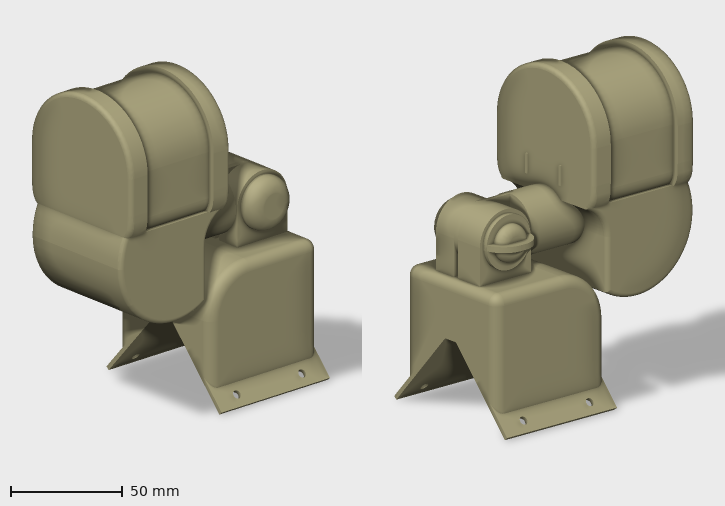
import cadquery as cq
import math

HEIGHT = 155.0
DEPTH = 118.0

base_width = 62.0
base_depth = 65.0
base_top = 65.7
base_front_radius = 24.0
base_fillet = 5.0

plate_span = 77.2
plate_thickness = 2.0
vee_flat = 7.5
plate_angle = math.radians(48.4)
plate_hole_diameter = 4.0
plate_hole_x = 34.7
plate_hole_ys = (-13.2, -52.3)

pivot_y = -19.4
pivot_z = 84.0
pivot_radius = 15.0
tongue_thickness = 2.6

knob_flange_radius = 13.0
knob_flange_thickness = 2.3
knob_dome_radius = 9.0
knob_dome_height = 5.1
knob_dome_fillet = 4.7
wing_reach = 12.1
wing_width = 26.0
wing_thickness = 2.8
wing_corner_radius = 12.0
cap_height = 7.9
cap_fillet = 6.8

arm_start = -35.2
arm_end = -71.3
arm_stub_radius = 9.5

lower_width = 60.3
lower_radius = 33.2
lower_center_z = 80.5
lower_front_upper_radius = 36.5
lower_back = -66.5
lower_hollow_radius = 16.0
lower_hollow_z = 79.1
lower_fillet = 2.2

head_bottom = 95.2
head_back = -55.4
head_front = -115.0
head_cap_thickness = 10.1
head_cap_half_width = 33.8
head_cap_side_bottom = 106.4
head_cap_shoulder = (32.3, 96.8)
head_cap_floor = (21.7, 91.5)
head_cap_fillet = 2.2
head_spring = 124.2
head_inset = 3.1
barrel_top = 152.3
barrel_corner_radius = 9.8
barrel_side_bottom = 102.0

rib_x = 11.5
rib_thickness = 1.1
rib_height = 9.5
rib_bottom = 101.4
rib_projection = 1.0


def cylinder_x(radius, x_start, x_end):
    """Cylinder on the pivot axis."""
    return (
        cq.Workplane("YZ", origin=(x_start, pivot_y, pivot_z))
        .circle(radius)
        .extrude(x_end - x_start)
    )


def cylinder_y(radius, y_start, y_end):
    """Cylinder on the arm axis, running toward -Y."""
    return (
        cq.Workplane("XZ", origin=(0, y_start, pivot_z))
        .circle(radius)
        .extrude(y_start - y_end)
    )


def block(x_range, y_range, z_range):
    """Box between the given limits."""
    (x0, x1), (y0, y1), (z0, z1) = x_range, y_range, z_range
    return cq.Workplane("XY").box(x1 - x0, y1 - y0, z1 - z0, centered=False).translate((x0, y0, z0))


def make_base():
    """Rounded block cut by a vee, with a drilled plate along each slope of the vee."""
    body = block((-base_width / 2, base_width / 2), (-base_depth, 0), (0, base_top))
    body = body.edges("|X and >Z and <Y").fillet(base_front_radius)
    body = body.faces("not <Z").edges("not <Z").fillet(base_fillet)

    rise_x = plate_thickness * math.sin(plate_angle)
    rise_z = plate_thickness * math.cos(plate_angle)
    foot_x = plate_span / 2 - rise_x
    vee_top = (foot_x - vee_flat / 2) * math.tan(plate_angle)
    vee = (
        cq.Workplane("XZ")
        .polyline([(-foot_x, 0), (-vee_flat / 2, vee_top), (vee_flat / 2, vee_top), (foot_x, 0)])
        .close()
        .extrude(base_depth)
    )
    body = body.cut(vee)
    for side in (-1, 1):
        plate = (
            cq.Workplane("XZ")
            .polyline([
                (side * foot_x, 0),
                (side * plate_span / 2, rise_z),
                (side * (vee_flat / 2 + rise_x), vee_top + rise_z),
                (side * vee_flat / 2, vee_top),
            ])
            .close()
            .extrude(base_depth)
        )
        hole_z = (plate_span / 2 - plate_hole_x) * math.tan(plate_angle) + rise_z
        for hole_y in plate_hole_ys:
            normal = cq.Vector(side * math.sin(plate_angle), 0, math.cos(plate_angle))
            center = cq.Vector(side * plate_hole_x, hole_y, hole_z)
            drill = cq.Solid.makeCylinder(
                plate_hole_diameter / 2,
                4 * plate_thickness,
                center - normal * (2 * plate_thickness),
                normal,
            )
            plate = plate.cut(cq.Workplane(drill))
        body = body.union(plate)
    return body


def make_pivot():
    """Two cheeks standing on the base, with the knob at -X and the end cap at +X."""
    post_y = (pivot_y - pivot_radius, pivot_y + pivot_radius)
    body = None
    for x_range in ((-pivot_radius, 0), (tongue_thickness, pivot_radius)):
        cheek = cylinder_x(pivot_radius, *x_range)
        cheek = cheek.union(block(x_range, post_y, (base_top - base_fillet, pivot_z)))
        body = cheek if body is None else body.union(cheek)

    flange_x = -pivot_radius - knob_flange_thickness
    dome = cylinder_x(knob_dome_radius, flange_x - knob_dome_height, flange_x)
    dome = dome.faces("<X").edges().fillet(knob_dome_fillet)
    wing = block(
        (-pivot_radius - wing_reach, -pivot_radius),
        (pivot_y - wing_width / 2, pivot_y + wing_width / 2),
        (pivot_z - wing_thickness / 2, pivot_z + wing_thickness / 2),
    )
    wing = wing.edges("|Z and <X").fillet(wing_corner_radius)
    cap = cylinder_x(knob_flange_radius, pivot_radius, pivot_radius + cap_height)
    cap = cap.faces(">X").edges().fillet(cap_fillet)
    body = body.union(cylinder_x(knob_flange_radius, flange_x, -pivot_radius))
    return body.union(dome).union(wing).union(cap)


def make_arm():
    """Round arm whose flat tongue fills the space between the cheeks."""
    arm = cylinder_y(pivot_radius, arm_start, arm_end)
    slab = block(
        (0, tongue_thickness),
        (arm_start, pivot_y),
        (pivot_z - pivot_radius, pivot_z + pivot_radius),
    )
    tongue = cylinder_x(pivot_radius, 0, tongue_thickness).union(slab)
    tongue = tongue.intersect(cylinder_y(pivot_radius, 0, arm_start))
    stub = cylinder_y(arm_stub_radius, pivot_y, arm_start)
    stub = stub.intersect(
        block((0, pivot_radius), (arm_start, pivot_y), (pivot_z - pivot_radius, pivot_z + pivot_radius))
    )
    return arm.union(tongue).union(stub)


def make_lower_body():
    """Rounded drum under the head, hollowed at the back around the arm."""
    center_y = -DEPTH + lower_radius
    back_z = lower_center_z - math.sqrt(lower_radius**2 - (center_y - lower_back) ** 2)
    upper_center_y = -DEPTH + lower_front_upper_radius
    hollow_top = lower_hollow_z + lower_hollow_radius
    rise = hollow_top + 3 * lower_fillet - lower_center_z

    def upper_front(height):
        return upper_center_y - math.sqrt(lower_front_upper_radius**2 - height**2)

    hollow_y = lower_back + lower_hollow_radius
    diagonal = lower_hollow_radius * math.sqrt(0.5)
    body = (
        cq.Workplane("YZ", origin=(-lower_width / 2, 0, 0))
        .moveTo(lower_back, back_z)
        .threePointArc(
            (center_y, lower_center_z - lower_radius),
            (-DEPTH, lower_center_z),
        )
        .threePointArc(
            (upper_front(rise / 2), lower_center_z + rise / 2),
            (upper_front(rise), lower_center_z + rise),
        )
        .lineTo(hollow_y, lower_center_z + rise)
        .lineTo(hollow_y, hollow_top)
        .threePointArc(
            (hollow_y - diagonal, lower_hollow_z + diagonal),
            (lower_back, lower_hollow_z),
        )
        .close()
        .extrude(lower_width / 2)
    )
    body = body.faces("<X").edges().fillet(lower_fillet)
    keep = block((-lower_width, lower_width), (-DEPTH, head_back), (0, head_bottom))
    half = body.intersect(keep)
    return half.union(half.mirror("YZ"))


def head_outline(y_start, half_width, top):
    """Half-ellipse crown between the tops of the straight sides, left open at the bottom."""
    return (
        cq.Workplane("XZ", origin=(0, y_start, 0))
        .moveTo(half_width, head_spring)
        .ellipseArc(half_width, top - head_spring, 0, 180, startAtCurrent=True)
    )


def make_head_cap(y_start, outer_face):
    """End cap of the head, extruded toward -Y and rounded on its outer face."""
    w = head_cap_half_width
    shoulder_x, shoulder_z = head_cap_shoulder
    floor_x, floor_z = head_cap_floor
    down, across, up = (0, -1), (1, 0), (0, 1)
    cap = (
        head_outline(y_start, w, HEIGHT)
        .lineTo(-w, head_cap_side_bottom)
        .spline([(-shoulder_x, shoulder_z), (-floor_x, floor_z)], [down, across], includeCurrent=True)
        .lineTo(floor_x, floor_z)
        .spline([(shoulder_x, shoulder_z), (w, head_cap_side_bottom)], [across, up], includeCurrent=True)
        .close()
        .extrude(head_cap_thickness)
    )
    return cap.faces(outer_face).edges().fillet(head_cap_fillet)


def make_head():
    """Barrel between two wider caps, cut flat at the bottom, with two ribs behind."""
    w = head_cap_half_width - head_inset
    barrel_bottom = barrel_side_bottom - barrel_corner_radius
    barrel = (
        head_outline(head_back - head_cap_thickness, w, barrel_top)
        .lineTo(-w, barrel_side_bottom)
        .radiusArc((-w + barrel_corner_radius, barrel_bottom), -barrel_corner_radius)
        .lineTo(w - barrel_corner_radius, barrel_bottom)
        .radiusArc((w, barrel_side_bottom), -barrel_corner_radius)
        .close()
        .extrude(head_back - head_front - 2 * head_cap_thickness)
    )

    head = barrel.union(make_head_cap(head_back, ">Y"))
    head = head.union(make_head_cap(head_front + head_cap_thickness, "<Y"))
    keep = block((-HEIGHT, HEIGHT), (head_front, head_back), (head_bottom, HEIGHT))
    head = head.intersect(keep)

    for side in (-1, 1):
        rib = block(
            (side * rib_x - rib_thickness / 2, side * rib_x + rib_thickness / 2),
            (head_back - head_cap_thickness / 2, head_back + rib_projection),
            (rib_bottom, rib_bottom + rib_height),
        )
        head = head.union(rib)
    return head


result = make_base()
for section in (make_pivot(), make_arm(), make_lower_body(), make_head()):
    result = result.union(section)